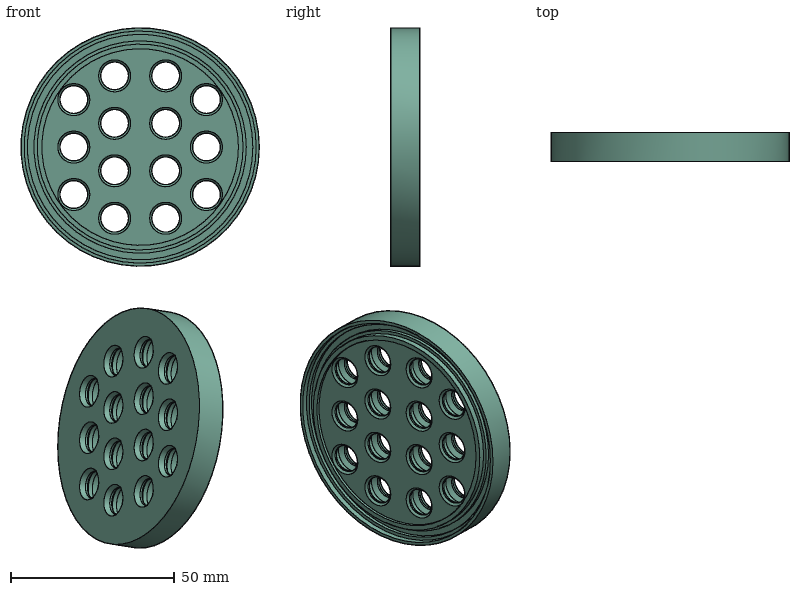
import cadquery as cq

disc_diameter = 73.0
disc_thickness = 9.0

rim_inner_diameter = 71.0
groove_outer_diameter = 69.0
groove_inner_diameter = 65.0
boss_diameter = 63.0
recess_diameter = 60.15
ledge_depth = 2.0
groove_depth = 3.2
recess_depth = 1.0

mouth_diameter = 9.8
neck_diameter = 8.4
pocket_diameter = 10.95
mouth_depth = (mouth_diameter - neck_diameter) / 2
neck_length = 0.7
pocket_length = 1.5

row_pitch = 14.5
inner_column_x = 7.8
inner_column_count = 4
outer_column_x = 20.3
outer_column_count = 3


def annulus(outer_diameter, inner_diameter, depth):
    """Ring running from the rim plane into the disc by depth."""
    return (
        cq.Workplane("XZ")
        .circle(outer_diameter / 2)
        .circle(inner_diameter / 2)
        .extrude(-depth)
    )


def column(x, count):
    """Hole centres of one column, centred on Z = 0."""
    return [(x, (i - (count - 1) / 2) * row_pitch) for i in range(count)]


def hole_cutter():
    """Revolved hole shape on the Y axis, starting at the recess floor."""
    mouth_radius = mouth_diameter / 2
    neck_radius = neck_diameter / 2
    pocket_radius = pocket_diameter / 2
    cone_length = pocket_radius - neck_radius

    neck_start = recess_depth + mouth_depth
    neck_end = neck_start + neck_length
    pocket_start = neck_end + cone_length
    pocket_end = pocket_start + pocket_length
    exit_start = pocket_end + cone_length + neck_length
    return (
        cq.Workplane("XY")
        .moveTo(0, recess_depth)
        .lineTo(mouth_radius, recess_depth)
        .lineTo(neck_radius, neck_start)
        .lineTo(neck_radius, neck_end)
        .lineTo(pocket_radius, pocket_start)
        .lineTo(pocket_radius, pocket_end)
        .lineTo(neck_radius, pocket_end + cone_length)
        .lineTo(neck_radius, exit_start)
        .lineTo(mouth_radius, disc_thickness)
        .lineTo(0, disc_thickness)
        .close()
        .revolve(360, (0, 0, 0), (0, 1, 0))
    )


body = cq.Workplane("XZ").circle(disc_diameter / 2).extrude(-disc_thickness)
body = body.cut(annulus(rim_inner_diameter, boss_diameter, ledge_depth))
body = body.cut(annulus(groove_outer_diameter, groove_inner_diameter, groove_depth))
recess = cq.Workplane("XZ").circle(recess_diameter / 2).extrude(-recess_depth)
body = body.cut(recess)

hole = hole_cutter()
hole_centres = (
    column(-outer_column_x, outer_column_count)
    + column(-inner_column_x, inner_column_count)
    + column(inner_column_x, inner_column_count)
    + column(outer_column_x, outer_column_count)
)
for x, z in hole_centres:
    body = body.cut(hole.translate((x, 0, z)))

result = body.translate((0, -disc_thickness / 2, 0))